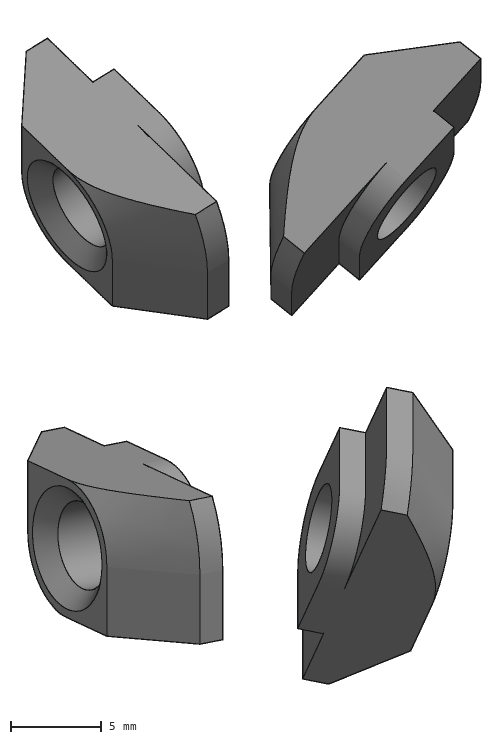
import cadquery as cq

length = 16.0
height = 8.0
neck_width = 8.0
nose_depth = 3.5
flange_thickness = 1.5
total_depth = 6.5
hole_diameter = 5.0
countersink_diameter = 7.0
countersink_angle = 90.0

half_length = length / 2
half_height = height / 2
half_neck = neck_width / 2
flange_back = nose_depth + flange_thickness


def half_profile():
    """Half cross-section in XY, from the hole axis out to +X."""
    return cq.Workplane("XY").polyline([
        (0, 0),
        (half_neck, 0),
        (half_length, nose_depth),
        (half_length, flange_back),
        (half_neck, flange_back),
        (half_neck, total_depth),
        (0, total_depth),
    ]).close()


def square_quadrant():
    """Straight-sided quarter at +X, -Z."""
    return half_profile().extrude(-half_height)


def round_quadrant():
    """Turned quarter at +X, +Z, trimmed flat at the top."""
    turned = half_profile().revolve(360, (0, 0, 0), (0, 1, 0))
    trim = cq.Workplane("XY").box(half_length, total_depth, half_height, centered=False)
    return turned.intersect(trim)


half_body = square_quadrant().union(round_quadrant())
other_half = half_body.rotate((0, 0, 0), (0, 1, 0), 180)
body = half_body.union(other_half)

result = (
    body.faces("<Y")
    .workplane(origin=(0, 0, 0))
    .cskHole(hole_diameter, countersink_diameter, countersink_angle)
)